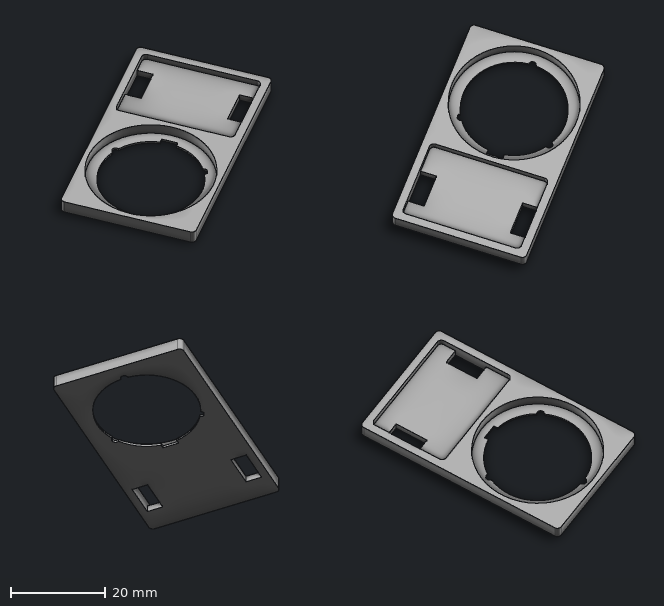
import cadquery as cq

plate_width = 30.25
plate_length = 50.35
plate_thickness = 3
plate_corner_radius = 1

pocket_width = 26.6
pocket_length = 18.25
pocket_depth = 1.4
pocket_corner_radius = 1
pocket_center_y = 14.3

window_width = 3.6
window_length = 7.75
window_center_y = 15.6

recess_center_y = -9.95
recess_radius = 14.0
recess_floor = 0.55
hole_radius = 11.45

notch_radius = 0.8
notch_angles = (30, 150, 270)
key_width = 3.6
key_reach = 12.25


def rounded_block(width, length, height, corner_radius):
    """Block standing on Z = 0 with rounded vertical edges."""
    block = cq.Workplane("XY").box(width, length, height, centered=(True, True, False))
    return block.edges("|Z").fillet(corner_radius)


def label_pocket():
    """Blind pocket with a window through its floor at each side."""
    pocket = rounded_block(pocket_width, pocket_length, pocket_depth, pocket_corner_radius)
    pocket = pocket.translate((0, pocket_center_y, plate_thickness - pocket_depth))
    window_offset = (pocket_width - window_width) / 2
    windows = (
        cq.Workplane("XY")
        .pushPoints([(side * window_offset, window_center_y) for side in (-1, 1)])
        .rect(window_width, window_length)
        .extrude(plate_thickness)
    )
    return pocket.union(windows)


def notched_opening():
    """Round recess and its through hole, with three round notches and a key slot."""
    recess = (
        cq.Workplane("XY")
        .workplane(offset=recess_floor)
        .circle(recess_radius)
        .extrude(plate_thickness - recess_floor)
    )
    hole = cq.Workplane("XY").circle(hole_radius).extrude(plate_thickness)
    key_slot = (
        cq.Workplane("XY")
        .center(0, key_reach / 2)
        .rect(key_width, key_reach)
        .extrude(plate_thickness)
    )
    opening = recess.union(hole).union(key_slot)
    for angle in notch_angles:
        notch = (
            cq.Workplane("XY")
            .transformed(rotate=(0, 0, angle))
            .center(hole_radius, 0)
            .circle(notch_radius)
            .extrude(plate_thickness)
        )
        opening = opening.union(notch)
    return opening.translate((0, recess_center_y, 0))


plate = rounded_block(plate_width, plate_length, plate_thickness, plate_corner_radius)
result = plate.cut(label_pocket()).cut(notched_opening())